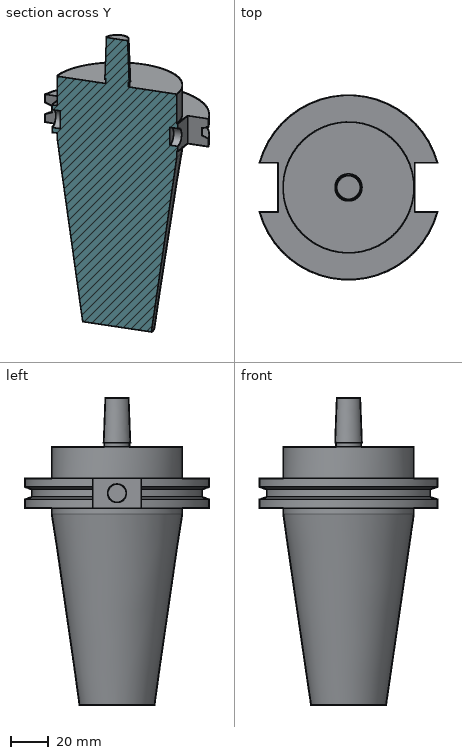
import cadquery as cq

total_height = 163.7
gauge_height = 101.8
flange_bottom = 105.0
flange_top = 120.8
nose_top = 137.5

body_diameter = 69.7
taper_end_diameter = 40.1

flange_diameter = 98.4
groove_diameter = 91.0
groove_floor_width = 4.0
groove_mouth_width = 6.7

slot_width = 26.0
left_slot_floor_distance = 37.7
right_slot_floor_distance = 35.4
drive_hole_diameter = 9.8
drive_hole_depth = 4.6

neck_height = 2.3
neck_diameter = 13.6
arbor_base_diameter = 14.4
arbor_tip_diameter = 12.6

body_radius = body_diameter / 2
flange_radius = flange_diameter / 2
flange_height = flange_top - flange_bottom
flange_middle = (flange_top + flange_bottom) / 2
groove_radius = groove_diameter / 2
arbor_base = nose_top + neck_height


def make_turned_body():
    """Revolve the half section of shank, flange, nose and arbor about Z."""
    half_section = [
        (0, 0),
        (taper_end_diameter / 2, 0),
        (body_radius, gauge_height),
        (body_radius, flange_bottom),
        (flange_radius, flange_bottom),
        (flange_radius, flange_middle - groove_mouth_width / 2),
        (groove_radius, flange_middle - groove_floor_width / 2),
        (groove_radius, flange_middle + groove_floor_width / 2),
        (flange_radius, flange_middle + groove_mouth_width / 2),
        (flange_radius, flange_top),
        (body_radius, flange_top),
        (body_radius, nose_top),
        (neck_diameter / 2, nose_top),
        (neck_diameter / 2, arbor_base),
        (arbor_base_diameter / 2, arbor_base),
        (arbor_tip_diameter / 2, total_height),
        (0, total_height),
    ]
    return cq.Workplane("XZ").polyline(half_section).close().revolve(360, (0, 0, 0), (0, 1, 0))


def make_drive_cut(side, slot_floor_distance):
    """Slot and blind hole on the +X (side = 1) or -X (side = -1) edge of the flange."""
    slot_length = flange_radius - slot_floor_distance
    slot_center = side * (slot_floor_distance + slot_length / 2)
    slot = cq.Workplane("XY").box(slot_length, slot_width, flange_height)
    slot = slot.translate((slot_center, 0, flange_middle))
    hole = (
        cq.Workplane("YZ", origin=(side * slot_floor_distance, 0, flange_middle))
        .circle(drive_hole_diameter / 2)
        .extrude(-side * drive_hole_depth)
    )
    return slot.union(hole)


result = make_turned_body()
result = result.cut(make_drive_cut(-1, left_slot_floor_distance))
result = result.cut(make_drive_cut(1, right_slot_floor_distance))